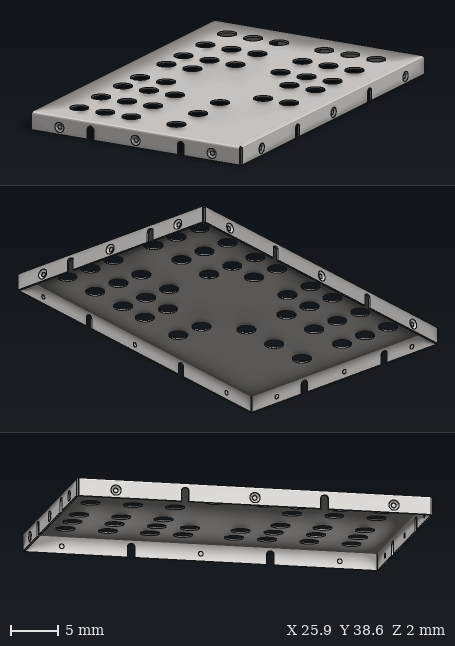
import cadquery as cq

WIDTH = 25.86
LENGTH = 38.56
HEIGHT = 2.0

SHEET = 0.2
OUTER_BEND_RADIUS = 0.23
INNER_BEND_RADIUS = OUTER_BEND_RADIUS - SHEET

HOLE_DIAMETER = 2.0
COLUMN_PITCH = 3.175
INNER_COLUMN = 2.755
COLUMNS = [INNER_COLUMN + i * COLUMN_PITCH for i in range(3)]
CENTRE_ROW = 2.75
FIRST_OUTER_ROW = 6.325
OUTER_ROW_PITCH = 4.565
OUTER_ROWS = [FIRST_OUTER_ROW + i * OUTER_ROW_PITCH for i in range(3)]

SLOT_WIDTH = 0.8
SLOT_TOP = 1.5
SLOT_OFFSET_ON_WIDTH = 5.5
SLOT_OFFSET_ON_LENGTH = 7.53

DIMPLE_MOUTH_DIAMETER = 1.1
DIMPLE_FLOOR_DIAMETER = 0.5
DIMPLE_DEPTH = 0.15
DIMPLE_HEIGHT = 0.8
DIMPLE_OFFSET_ON_WIDTH = 9.3
DIMPLE_OFFSET_ON_LENGTH = 15.03


def channel(plane, across, along):
    """Top and two opposite walls, with the walls ending level with the neighbouring bends."""
    outer_half = across / 2
    inner_half = outer_half - SHEET
    bend_start = outer_half - OUTER_BEND_RADIUS
    bend_bottom = HEIGHT - OUTER_BEND_RADIUS
    under_top = HEIGHT - SHEET
    profile = (
        cq.Workplane(plane)
        .moveTo(-outer_half, 0)
        .lineTo(-outer_half, bend_bottom)
        .radiusArc((-bend_start, HEIGHT), OUTER_BEND_RADIUS)
        .lineTo(bend_start, HEIGHT)
        .radiusArc((outer_half, bend_bottom), OUTER_BEND_RADIUS)
        .lineTo(outer_half, 0)
        .lineTo(inner_half, 0)
        .lineTo(inner_half, bend_bottom)
        .radiusArc((bend_start, under_top), -INNER_BEND_RADIUS)
        .lineTo(-bend_start, under_top)
        .radiusArc((-inner_half, bend_bottom), -INNER_BEND_RADIUS)
        .lineTo(-inner_half, 0)
        .close()
    )
    return profile.extrude(along / 2 - OUTER_BEND_RADIUS, both=True)


def vent_holes():
    """Three columns each side of the middle; the +X, -Y quarter keeps a blank area."""
    centres = []
    for side in (-1, 1):
        for end in (-1, 1):
            blank_quarter = side > 0 and end < 0
            outer_row_columns = COLUMNS[:1] if blank_quarter else COLUMNS
            centres += [(side * x, end * y) for y in OUTER_ROWS for x in outer_row_columns]
            centres += [(side * x, end * CENTRE_ROW) for x in COLUMNS[1:]]
    return (
        cq.Workplane("XY")
        .workplane(offset=HEIGHT - SHEET)
        .pushPoints(centres)
        .circle(HOLE_DIAMETER / 2)
        .extrude(SHEET)
    )


def wall_slots(plane, offset, span):
    """Round-topped slots, open at the bottom, through both opposite walls."""
    radius = SLOT_WIDTH / 2
    arc_start = SLOT_TOP - radius
    slots = cq.Workplane(plane)
    for centre in (-offset, offset):
        slots = (
            slots.moveTo(centre - radius, 0)
            .lineTo(centre - radius, arc_start)
            .threePointArc((centre, SLOT_TOP), (centre + radius, arc_start))
            .lineTo(centre + radius, 0)
            .close()
        )
    return slots.extrude(span / 2, both=True)


def dimple(x, y, outward):
    """Cone-sided, flat-bottomed recess entering the wall at (x, y) against `outward`."""
    return cq.Solid.makeCone(
        DIMPLE_MOUTH_DIAMETER / 2,
        DIMPLE_FLOOR_DIAMETER / 2,
        DIMPLE_DEPTH,
        pnt=cq.Vector(x, y, DIMPLE_HEIGHT),
        dir=-outward,
    )


def wall_dimples():
    """Three dimples on each of the four walls, the middle one centred."""
    dimples = []
    for side in (-1, 1):
        for step in (-1, 0, 1):
            along_width = dimple(
                step * DIMPLE_OFFSET_ON_WIDTH, side * LENGTH / 2, cq.Vector(0, side, 0)
            )
            along_length = dimple(
                side * WIDTH / 2, step * DIMPLE_OFFSET_ON_LENGTH, cq.Vector(side, 0, 0)
            )
            dimples += [along_width, along_length]
    return dimples


shell = channel("XZ", WIDTH, LENGTH).union(channel("YZ", LENGTH, WIDTH))
shell = shell.cut(vent_holes())
shell = shell.cut(wall_slots("XZ", SLOT_OFFSET_ON_WIDTH, LENGTH))
shell = shell.cut(wall_slots("YZ", SLOT_OFFSET_ON_LENGTH, WIDTH))
for recess in wall_dimples():
    shell = shell.cut(cq.Workplane(recess))

result = shell